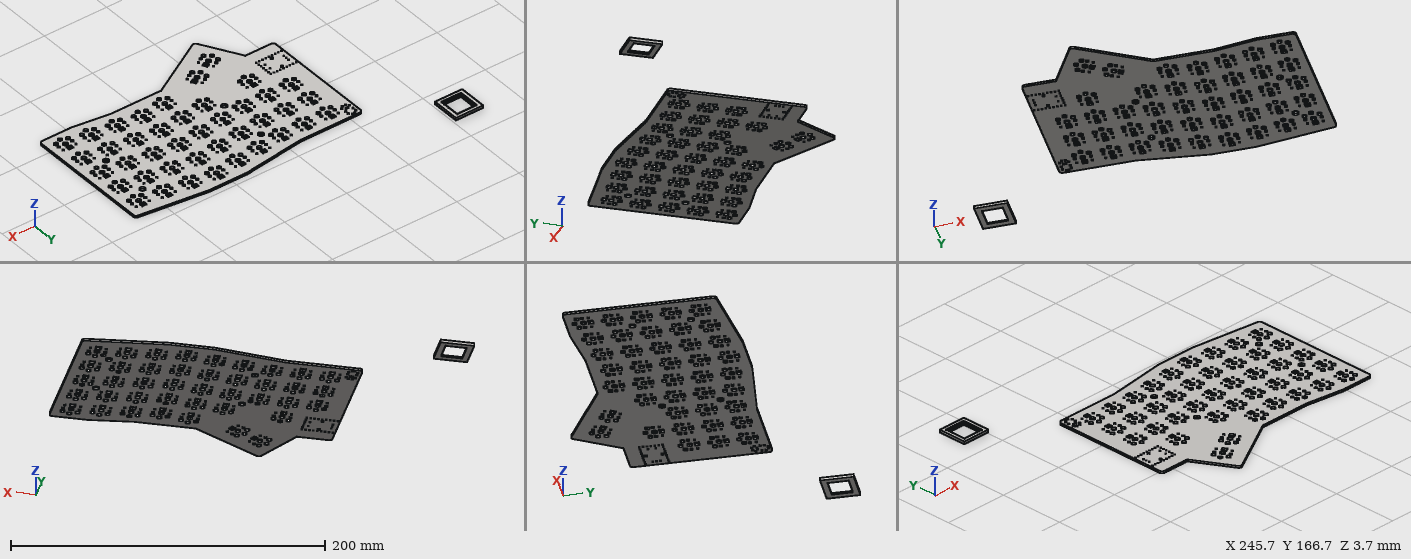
import cadquery as cq
import math


board_thickness = 1.6
board_right = 182.7
board_shoulder_y = 92.4
shoulder_end_x = 50.0
crown_y = 99.0
crown_start_x = 98.0
crown_end_x = 128.0
lower_right_y = -7.4
lower_right_start_x = 157.2
lower_middle_y = -3.5
lower_middle_start_x = 88.0
thumb_edge_start_x = 22.8
corner_radius = 2.2

key_pitch = 152.3 / 8
column_stagger = key_pitch / 8
first_key_x = 18.5
first_key_y = 80.3
column_layout = [(0, 3), (0, 4), (0, 3), (1, 4), (2, 5), (3, 5), (2, 5), (1, 5), (0, 5)]

thumb_tilt = 30.0
thumb_key_turn = thumb_tilt - 90.0
thumb_key_count = 2
first_thumb_x = 44.7
first_thumb_y = -10.0

stem_diameter = 3.5
side_peg_diameter = 1.8
side_peg_x = 5.5
socket_diameter = 3.0
socket_side_x = 5.0
socket_side_y = -3.7
socket_middle_y = -6.0
small_pin_diameter = 1.2
small_pin_x = 5.2
small_pin_y = 4.2
lamp_width = 3.5
lamp_height = 3.0
lamp_y = 4.7

mounting_diameter = 4.2
mounting_columns = (2.5, 7.5)
mounting_rows = (0.5, 2.5)

module_pin_diameter = 0.75
module_pin_pitch = 22.8 / 9
module_row_pins = 9
module_side_gaps = 6
module_right_x = 21.9
module_bottom_y = 10.0
module_peg_diameter = 1.8
module_peg_inset = 2.2
inner_left_x = 3.7
inner_right_x = 18.7

jack_x = 5.6
jack_top_y = 90.6
jack_hole_diameter = 1.2
jack_pairs = [(0.8, 0), (3.0, 1.95), (3.0, 4.7), (0.8, 7.1), (3.0, 8.5), (1.3, 10.3)]

frame_left = -63.0
frame_bottom = 114.7
frame_size = 21.9
frame_thickness = 2.1
frame_base = board_thickness
recess_width = 16.0
recess_height = 16.7
recess_depth = 1.0
opening_size = 13.8


def thumb_corner():
    """Meeting point of the lower edge at the thumb tilt and the left edge square to it."""
    slope = math.tan(math.radians(thumb_tilt))
    x = (lower_middle_start_x * slope + thumb_edge_start_x / slope - lower_middle_y) / (slope + 1 / slope)
    y = (thumb_edge_start_x - x) / slope
    return (x, y)


def board_blank():
    """Board without holes, with its five outer corners rounded."""
    lower_left = (0, 0)
    upper_left = (0, board_shoulder_y)
    upper_right = (board_right, board_shoulder_y)
    lower_right = (board_right, lower_right_y)
    outline = [
        lower_left,
        upper_left,
        (shoulder_end_x, board_shoulder_y),
        (crown_start_x, crown_y),
        (crown_end_x, crown_y),
        upper_right,
        lower_right,
        (lower_right_start_x, lower_right_y),
        (crown_end_x, lower_middle_y),
        (lower_middle_start_x, lower_middle_y),
        thumb_corner(),
        (thumb_edge_start_x, 0),
    ]
    blank = cq.Workplane("XY").polyline(outline).close().extrude(board_thickness)
    for x, y in (lower_left, upper_left, upper_right, lower_right, thumb_corner()):
        corner_edge = cq.selectors.NearestToPointSelector((x, y, board_thickness / 2))
        blank = blank.edges(corner_edge).fillet(corner_radius)
    return blank.val()


def round_cutters(points, diameter):
    """One cylinder through the board at each point."""
    cylinder = cq.Workplane("XY").circle(diameter / 2).extrude(board_thickness).val()
    return [cylinder.moved(cq.Location(cq.Vector(x, y, 0))) for x, y in points]


def switch_cutters():
    """Cutters of one key switch centred on the origin."""
    side_pegs = [(-side_peg_x, 0), (side_peg_x, 0)]
    sockets = [(-socket_side_x, socket_side_y), (socket_side_x, socket_side_y), (0, socket_middle_y)]
    small_pins = [(-small_pin_x, small_pin_y), (small_pin_x, small_pin_y)]
    lamp_window = cq.Workplane("XY").center(0, lamp_y).rect(lamp_width, lamp_height).extrude(board_thickness)
    return [
        *round_cutters([(0, 0)], stem_diameter),
        *round_cutters(side_pegs, side_peg_diameter),
        *round_cutters(sockets, socket_diameter),
        *round_cutters(small_pins, small_pin_diameter),
        lamp_window.val(),
    ]


def key_places():
    """Centre and turn of every key: the staggered columns, then the thumb row."""
    places = []
    for column, (stagger_steps, key_count) in enumerate(column_layout):
        x = first_key_x + column * key_pitch
        top_y = first_key_y + stagger_steps * column_stagger
        for row in range(key_count):
            places.append((x, top_y - row * key_pitch, 0))
    tilt = math.radians(thumb_tilt)
    for i in range(thumb_key_count):
        x = first_thumb_x + i * key_pitch * math.cos(tilt)
        y = first_thumb_y + i * key_pitch * math.sin(tilt)
        places.append((x, y, thumb_key_turn))
    return places


def key_cutters():
    switch = switch_cutters()
    cutters = []
    for x, y, turn in key_places():
        place = cq.Location(cq.Vector(x, y, 0), cq.Vector(0, 0, 1), turn)
        cutters += [cutter.moved(place) for cutter in switch]
    return cutters


def mounting_cutters():
    top_y = first_key_y + column_stagger / 2
    points = []
    for column in mounting_columns:
        for row in mounting_rows:
            points.append((first_key_x + column * key_pitch, top_y - row * key_pitch))
    return round_cutters(points, mounting_diameter)


def module_cutters():
    """Two pin rows, the pins joining them on the right, the inner pins and two pegs."""
    top_y = module_bottom_y + module_side_gaps * module_pin_pitch
    middle_y = (module_bottom_y + top_y) / 2
    pins = []
    for i in range(module_row_pins):
        x = module_right_x - i * module_pin_pitch
        pins += [(x, top_y), (x, module_bottom_y)]
    for i in range(1, module_side_gaps):
        pins.append((module_right_x, module_bottom_y + i * module_pin_pitch))
    pins += [(inner_left_x, middle_y + step * module_pin_pitch) for step in (-1, 0, 1)]
    pins += [(inner_right_x, middle_y + step * module_pin_pitch) for step in (-1, 1)]
    peg_x = (inner_left_x + inner_right_x) / 2
    pegs = [(peg_x, top_y - module_peg_inset), (peg_x, module_bottom_y + module_peg_inset)]
    return round_cutters(pins, module_pin_diameter) + round_cutters(pegs, module_peg_diameter)


def jack_cutters():
    points = []
    for offset, drop in jack_pairs:
        points += [(jack_x + side * offset, jack_top_y - drop) for side in (-1, 1)]
    return round_cutters(points, jack_hole_diameter)


def make_board():
    cutters = key_cutters() + mounting_cutters() + module_cutters() + jack_cutters()
    return board_blank().cut(*cutters).Solids()[0]


def make_frame():
    """Square frame with a stepped opening, recessed from above."""
    centre_x = frame_left + frame_size / 2
    centre_y = frame_bottom + frame_size / 2
    base = cq.Workplane("XY", origin=(centre_x, centre_y, frame_base))
    blank = base.rect(frame_size, frame_size).extrude(frame_thickness)
    opening = base.rect(opening_size, opening_size).extrude(frame_thickness)
    recess_floor = base.workplane(offset=frame_thickness - recess_depth)
    recess = recess_floor.rect(recess_width, recess_height).extrude(recess_depth)
    return blank.cut(opening).cut(recess).val()


board = make_board()
frame = make_frame()
result = cq.Compound.makeCompound([board, frame])